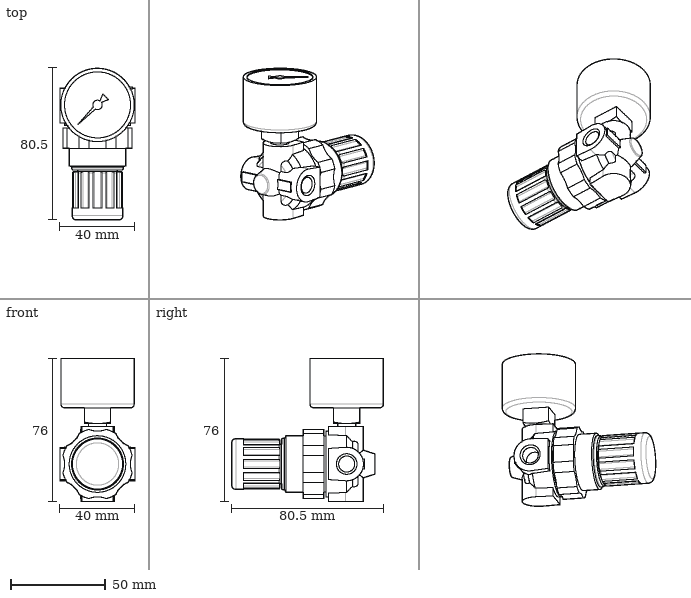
import cadquery as cq
import math


PORT_LENGTH = 40.0
PORT_RADIUS = 17.8 / 2
PORT_FRONT_Y = -9.7
PORT_DRAFT = math.radians(4)
PORT_HOLE_DIAMETER = 8.5
PORT_HOLE_MOUTH_DIAMETER = 10.95
PORT_HOLE_MOUTH_DEPTH = 0.8
PORT_HOLE_DEPTH = 9.7

BODY_RADIUS = 35.0 / 2
BODY_FRONT_Y = -11.0
BODY_REAR_Y = -0.1
SHOULDER_RADIUS = 14.6
SHOULDER_START_Y = 3.0
SHOULDER_REAR_Y = 6.1
SHOULDER_FILLET = 2.9

BOSS_REAR_Y = 15.05
BOSS_BASE_RADIUS = 8.4
BOSS_TIP_RADIUS = 5.4
BOSS_FILLET = 0.65

STRIP_START_X = -16.1
STRIP_END_X = 18.4
STRIP_REAR_Y = 9.5
STRIP_HEIGHT = 5.4

NECK_RADIUS = 29.8 / 2
NUT_REAR_Y = -12.15
NUT_FRONT_Y = -23.1
NUT_RADIUS = 18.9
NUT_SCALLOP_COUNT = 8
NUT_SCALLOP_HALF_ANGLE = math.radians(14)
NUT_SCALLOP_BOTTOM_RADIUS = 17.5

COLLAR_RADIUS = 30.0 / 2
COLLAR_FRONT_Y = -32.3
RING_RADIUS = 27.5 / 2
RING_REAR_Y = -32.85
RING_FRONT_Y = -34.5
RING_ROUND_START_Y = -33.4
RING_END_RADIUS = 13.2
SPINDLE_RADIUS = 21.0 / 2

KNOB_RADIUS = 27.0 / 2
KNOB_REAR_Y = -35.4
KNOB_FRONT_Y = -61.0
KNOB_FRONT_FILLET = 2.25
KNOB_REAR_FILLET = 0.8
GROOVE_COUNT = 12
GROOVE_FRONT_Y = -54.7
GROOVE_FLOOR_RADIUS = 12.8
GROOVE_FLOOR_HALF_WIDTH = 3.1 / 2
GROOVE_MOUTH_HALF_WIDTH = 4.9 / 2
GROOVE_WALL_RADIUS = 1.05

GAUGE_RADIUS = 39.0 / 2
OVERALL_HEIGHT = 76.0
GAUGE_TOP_Z = OVERALL_HEIGHT - PORT_LENGTH / 2
GAUGE_BOTTOM_Z = 29.8
GAUGE_FILLET = 1.9
DIAL_RADIUS = 35.0 / 2
DIAL_RECESS = 0.5
SQUARE_WIDTH = 14.0
SQUARE_BOTTOM_Z = 21.4
SQUARE_BEVEL_RADIUS = 6.85
SQUARE_BEVEL_ANGLE = math.radians(15)
STEM_DIAMETER = 9.75

NEEDLE_THICKNESS = 0.5
NEEDLE_ANGLE = 225
NEEDLE_HUB_RADIUS = 2.5
NEEDLE_LENGTH = 14.8
NEEDLE_ROOT_HALF_WIDTH = 1.0
NEEDLE_TAIL_LENGTH = 6.0
NEEDLE_TAIL_HALF_WIDTH = 2.1
NEEDLE_WAIST_HALF_WIDTH = 0.6


def polar(radius, angle):
    """Point at a radius and an angle measured from the second axis of a plane."""
    return radius * math.sin(angle), radius * math.cos(angle)


def disc(radius, rear_y, front_y):
    """Cylinder on the Y axis."""
    return cq.Workplane("XZ", origin=(0, rear_y, 0)).circle(radius).extrude(rear_y - front_y)


def taper(rear_radius, rear_y, front_radius, front_y):
    """Truncated cone on the Y axis."""
    profile = [(0, rear_y), (rear_radius, rear_y), (front_radius, front_y), (0, front_y)]
    return cq.Workplane("XY").polyline(profile).close().revolve(360, (0, 0), (0, 1))


def port_bar():
    """D-shaped bar along X: round at the rear, drafted flanks, flat front."""
    tangent_y = -PORT_RADIUS * math.sin(PORT_DRAFT)
    tangent_z = PORT_RADIUS * math.cos(PORT_DRAFT)
    front_z = tangent_z - (tangent_y - PORT_FRONT_Y) * math.tan(PORT_DRAFT)
    return (
        cq.Workplane("YZ")
        .moveTo(PORT_FRONT_Y, -front_z)
        .lineTo(tangent_y, -tangent_z)
        .threePointArc((PORT_RADIUS, 0), (tangent_y, tangent_z))
        .lineTo(PORT_FRONT_Y, front_z)
        .close()
        .extrude(PORT_LENGTH / 2, both=True)
    )


def port_hole():
    """Blind hole in the -X port face, with a countersunk mouth."""
    hole_radius = PORT_HOLE_DIAMETER / 2
    mouth_radius = PORT_HOLE_MOUTH_DIAMETER / 2
    face_x = -PORT_LENGTH / 2
    countersink_x = face_x + PORT_HOLE_MOUTH_DEPTH
    floor_x = face_x + PORT_HOLE_DEPTH
    profile = [
        (face_x, 0),
        (face_x, mouth_radius),
        (countersink_x, hole_radius),
        (floor_x, hole_radius),
        (floor_x, 0),
    ]
    return cq.Workplane("XY").polyline(profile).close().revolve(360, (0, 0), (1, 0))


def rear_body():
    """Turned body, rounded rear shoulder and tapered boss."""
    barrel = disc(BODY_RADIUS, BODY_REAR_Y, BODY_FRONT_Y)
    cone = taper(SHOULDER_RADIUS, SHOULDER_START_Y, BODY_RADIUS, BODY_REAR_Y)
    shoulder = disc(SHOULDER_RADIUS, SHOULDER_REAR_Y, SHOULDER_START_Y)
    shoulder = shoulder.faces(">Y").edges().fillet(SHOULDER_FILLET)
    boss = taper(BOSS_TIP_RADIUS, BOSS_REAR_Y, BOSS_BASE_RADIUS, SHOULDER_REAR_Y)
    boss = boss.faces(">Y").edges().fillet(BOSS_FILLET)
    return barrel.union(cone).union(shoulder).union(boss)


def flow_strip():
    """Strip along X, standing slightly proud of the round rear of the side ports."""
    return cq.Workplane("XY").box(
        STRIP_END_X - STRIP_START_X, STRIP_REAR_Y, STRIP_HEIGHT, centered=(False, False, True)
    ).translate((STRIP_START_X, 0, 0))


def ring_nut():
    """Ring nut with round scallops between arc-shaped lands."""
    pitch = 2 * math.pi / NUT_SCALLOP_COUNT
    outline = cq.Workplane("XZ", origin=(0, NUT_REAR_Y, 0))
    outline = outline.moveTo(*polar(NUT_RADIUS, -NUT_SCALLOP_HALF_ANGLE))
    for index in range(NUT_SCALLOP_COUNT):
        middle = index * pitch
        outline = outline.threePointArc(
            polar(NUT_SCALLOP_BOTTOM_RADIUS, middle),
            polar(NUT_RADIUS, middle + NUT_SCALLOP_HALF_ANGLE),
        ).threePointArc(
            polar(NUT_RADIUS, middle + pitch / 2),
            polar(NUT_RADIUS, middle + pitch - NUT_SCALLOP_HALF_ANGLE),
        )
    return outline.close().extrude(NUT_REAR_Y - NUT_FRONT_Y)


def end_ring():
    """Ring at the collar end whose front curves inward to a sharp edge."""
    return (
        cq.Workplane("XY")
        .moveTo(0, RING_REAR_Y)
        .lineTo(RING_RADIUS, RING_REAR_Y)
        .lineTo(RING_RADIUS, RING_ROUND_START_Y)
        .tangentArcPoint((RING_END_RADIUS, RING_FRONT_Y), relative=False)
        .lineTo(0, RING_FRONT_Y)
        .close()
        .revolve(360, (0, 0), (0, 1))
    )


def bonnet():
    """Neck, collar with its taper, rounded end ring and spindle."""
    neck = disc(NECK_RADIUS, BODY_FRONT_Y, NUT_REAR_Y)
    collar = disc(COLLAR_RADIUS, NUT_FRONT_Y, COLLAR_FRONT_Y)
    collar_taper = taper(COLLAR_RADIUS, COLLAR_FRONT_Y, RING_RADIUS, RING_REAR_Y)
    spindle = disc(SPINDLE_RADIUS, RING_FRONT_Y, KNOB_REAR_Y)
    return neck.union(ring_nut()).union(collar).union(collar_taper).union(end_ring()).union(spindle)


def grip_groove():
    """Cutter for the grip groove on the +Z side, with a round floor and concave walls."""
    floor_edge_z = math.sqrt(GROOVE_FLOOR_RADIUS**2 - GROOVE_FLOOR_HALF_WIDTH**2)
    mouth_z = math.sqrt(KNOB_RADIUS**2 - GROOVE_MOUTH_HALF_WIDTH**2)
    return (
        cq.Workplane("XZ", origin=(0, KNOB_REAR_Y, 0))
        .moveTo(-GROOVE_MOUTH_HALF_WIDTH, mouth_z)
        .radiusArc((-GROOVE_FLOOR_HALF_WIDTH, floor_edge_z), -GROOVE_WALL_RADIUS)
        .threePointArc((0, GROOVE_FLOOR_RADIUS), (GROOVE_FLOOR_HALF_WIDTH, floor_edge_z))
        .radiusArc((GROOVE_MOUTH_HALF_WIDTH, mouth_z), -GROOVE_WALL_RADIUS)
        .lineTo(GROOVE_MOUTH_HALF_WIDTH, KNOB_RADIUS)
        .lineTo(-GROOVE_MOUTH_HALF_WIDTH, KNOB_RADIUS)
        .close()
        .extrude(KNOB_REAR_Y - GROOVE_FRONT_Y)
    )


def knob():
    """Rounded adjusting knob with grip grooves open at the rear."""
    body = disc(KNOB_RADIUS, KNOB_REAR_Y, KNOB_FRONT_Y)
    body = body.faces("<Y").edges().fillet(KNOB_FRONT_FILLET)
    body = body.faces(">Y").edges().fillet(KNOB_REAR_FILLET)
    groove = grip_groove()
    for index in range(GROOVE_COUNT):
        body = body.cut(groove.rotate((0, 0, 0), (0, 1, 0), index * 360 / GROOVE_COUNT))
    return body


def make_regulator():
    """Regulator: ports, body, bonnet and knob in one solid."""
    side_ports = port_bar()
    vertical_ports = port_bar().rotate((0, 0, 0), (0, 1, 0), 90)
    hole = port_hole()
    regulator = rear_body().union(side_ports).union(vertical_ports).union(flow_strip())
    regulator = regulator.union(bonnet()).union(knob())
    return regulator.cut(hole).cut(hole.mirror("YZ"))


def gauge_case():
    """Round case with a rounded bottom edge and a shallow dial recess."""
    case = cq.Workplane("XY", origin=(0, 0, GAUGE_BOTTOM_Z))
    case = case.circle(GAUGE_RADIUS).extrude(GAUGE_TOP_Z - GAUGE_BOTTOM_Z)
    case = case.faces("<Z").edges().fillet(GAUGE_FILLET)
    return case.faces(">Z").workplane().circle(DIAL_RADIUS).cutBlind(-DIAL_RECESS)


def gauge_square():
    """Square wrench block whose lower corners are bevelled by a cone."""
    height = GAUGE_BOTTOM_Z - SQUARE_BOTTOM_Z
    block = cq.Workplane("XY", origin=(0, 0, SQUARE_BOTTOM_Z)).rect(SQUARE_WIDTH, SQUARE_WIDTH)
    block = block.extrude(height)
    bevel_run = SQUARE_WIDTH - SQUARE_BEVEL_RADIUS
    bevel_top_z = SQUARE_BOTTOM_Z + bevel_run * math.tan(SQUARE_BEVEL_ANGLE)
    envelope = [
        (0, SQUARE_BOTTOM_Z),
        (SQUARE_BEVEL_RADIUS, SQUARE_BOTTOM_Z),
        (SQUARE_WIDTH, bevel_top_z),
        (SQUARE_WIDTH, GAUGE_BOTTOM_Z),
        (0, GAUGE_BOTTOM_Z),
    ]
    return block.intersect(cq.Workplane("XZ").polyline(envelope).close().revolve(360, (0, 0), (0, 1)))


def gauge_stem():
    """Round stem standing on the flat top of the upper port."""
    port_top_z = PORT_LENGTH / 2
    stem = cq.Workplane("XY", origin=(0, 0, port_top_z)).circle(STEM_DIAMETER / 2)
    return stem.extrude(SQUARE_BOTTOM_Z - port_top_z)


def gauge_needle():
    """Pointer with a round hub and a flared tail, lying on the dial."""
    dial = cq.Workplane("XY", origin=(0, 0, GAUGE_TOP_Z - DIAL_RECESS))
    hub = dial.circle(NEEDLE_HUB_RADIUS).extrude(NEEDLE_THICKNESS)
    pointer = dial.polyline(
        [(0, -NEEDLE_ROOT_HALF_WIDTH), (NEEDLE_LENGTH, 0), (0, NEEDLE_ROOT_HALF_WIDTH)]
    ).close().extrude(NEEDLE_THICKNESS)
    tail = dial.polyline(
        [
            (0, -NEEDLE_WAIST_HALF_WIDTH),
            (0, NEEDLE_WAIST_HALF_WIDTH),
            (-NEEDLE_HUB_RADIUS, NEEDLE_WAIST_HALF_WIDTH),
            (-NEEDLE_TAIL_LENGTH, NEEDLE_TAIL_HALF_WIDTH),
            (-NEEDLE_TAIL_LENGTH, -NEEDLE_TAIL_HALF_WIDTH),
            (-NEEDLE_HUB_RADIUS, -NEEDLE_WAIST_HALF_WIDTH),
        ]
    ).close().extrude(NEEDLE_THICKNESS)
    return hub.union(pointer).union(tail).rotate((0, 0, 0), (0, 0, 1), NEEDLE_ANGLE)


def make_gauge():
    """Pressure gauge: case, needle, wrench square and stem in one solid."""
    return gauge_case().union(gauge_square()).union(gauge_stem()).union(gauge_needle())


regulator = make_regulator()
gauge = make_gauge()
result = cq.Compound.makeCompound([regulator.val(), gauge.val()])